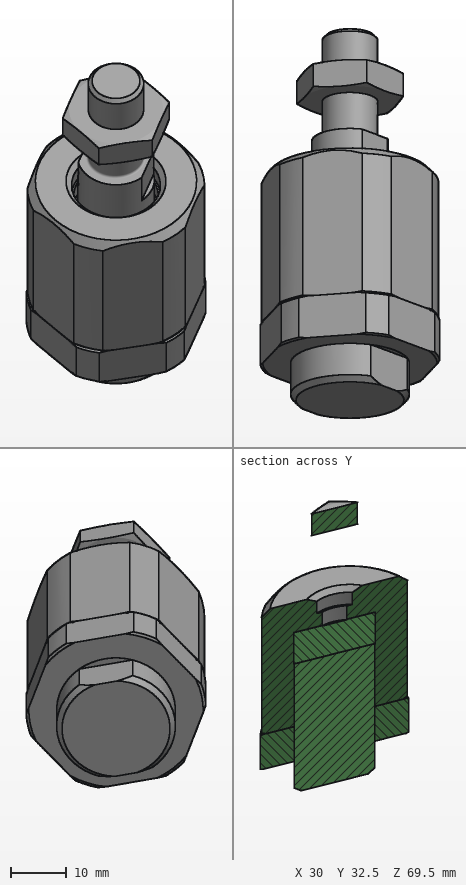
import cadquery as cq
import math


LOCK_NUT_BOTTOM = 7.0
LOCK_NUT_TOP = 15.0
PLUG_TOP = 29.2
HEAD_TOP = 36.15
LEDGE_HEIGHT = 39.3
HOUSING_TOP = 43.0
WRENCH_FLATS_BOTTOM = 43.45
SHOULDER_TOP = 49.5
JAM_NUT_BOTTOM = 57.05
JAM_NUT_THICKNESS = 5.0
STUD_TOP = 69.5

PLUG_DIAMETER = 21.4
PLUG_ACROSS_FLATS = 19.05
PLUG_END_DIAMETER = 19.45
PLUG_CHAMFER_HEIGHT = 1.05

BODY_ACROSS_FLATS = 30.0
HOUSING_CORNER_DIAMETER = 32.0
HOUSING_TOP_DIAMETER = 29.05
HOUSING_BOTTOM_DIAMETER = 30.6
HOUSING_BOTTOM_CHAMFER_HEIGHT = 0.2
MOUTH_DIAMETER = 18.0
COUNTERBORE_DIAMETER = 16.0
THROAT_DIAMETER = 15.2
LOCK_NUT_CORNER_DIAMETER = 32.45
LOCK_NUT_FACE_DIAMETER = 31.4
LOCK_NUT_CHAMFER_HEIGHT = 0.2

SHOULDER_DIAMETER = 13.8
SHOULDER_ACROSS_FLATS = 12.0
STUD_DIAMETER = 10.0
STUD_END_DIAMETER = 8.6
STUD_ROOT_RADIUS = 0.4

JAM_NUT_ACROSS_FLATS = 17.0
JAM_NUT_FACE_DIAMETER = 16.95
JAM_NUT_CHAMFER_HEIGHT = 0.35


def turned(profile):
    """Solid of revolution about Z from (diameter, height) corners listed from bottom to top."""
    corners = [(diameter / 2, height) for diameter, height in profile]
    outline = [(0, corners[0][1]), *corners, (0, corners[-1][1])]
    return cq.Workplane("XZ").polyline(outline).close().revolve(360, (0, 0), (0, 1))


def hexagon_corner_diameter(across_flats):
    return across_flats / math.cos(math.radians(30))


def hexagon_bar(across_flats, bottom, top):
    """Hexagonal prism with one pair of flats facing -X and +X."""
    return (
        cq.Workplane("XY", origin=(0, 0, bottom))
        .transformed(rotate=(0, 0, 30))
        .polygon(6, hexagon_corner_diameter(across_flats))
        .extrude(top - bottom)
    )


def flats_bar(across_flats, length, bottom, top):
    """Block whose -X and +X faces form a pair of wrench flats."""
    return cq.Workplane("XY", origin=(0, 0, bottom)).box(
        across_flats, length, top - bottom, centered=(True, True, False)
    )


def make_plug():
    wrench_end = turned([
        (PLUG_END_DIAMETER, 0),
        (PLUG_DIAMETER, PLUG_CHAMFER_HEIGHT),
        (PLUG_DIAMETER, LOCK_NUT_BOTTOM),
    ]).intersect(flats_bar(PLUG_ACROSS_FLATS, PLUG_DIAMETER, 0, LOCK_NUT_BOTTOM))
    shank = turned([(PLUG_DIAMETER, LOCK_NUT_BOTTOM), (PLUG_DIAMETER, PLUG_TOP)])
    return wrench_end.union(shank)


def make_lock_nut():
    envelope = turned([
        (LOCK_NUT_FACE_DIAMETER, LOCK_NUT_BOTTOM),
        (LOCK_NUT_CORNER_DIAMETER, LOCK_NUT_BOTTOM + LOCK_NUT_CHAMFER_HEIGHT),
        (LOCK_NUT_CORNER_DIAMETER, LOCK_NUT_TOP - LOCK_NUT_CHAMFER_HEIGHT),
        (LOCK_NUT_FACE_DIAMETER, LOCK_NUT_TOP),
    ])
    bore = turned([(PLUG_DIAMETER, LOCK_NUT_BOTTOM), (PLUG_DIAMETER, LOCK_NUT_TOP)])
    return hexagon_bar(BODY_ACROSS_FLATS, LOCK_NUT_BOTTOM, LOCK_NUT_TOP).intersect(envelope).cut(bore)


def make_housing():
    top_chamfer = (HOUSING_CORNER_DIAMETER - HOUSING_TOP_DIAMETER) / 2
    mouth_depth = (MOUTH_DIAMETER - COUNTERBORE_DIAMETER) / 2
    envelope = turned([
        (HOUSING_BOTTOM_DIAMETER, LOCK_NUT_TOP),
        (HOUSING_CORNER_DIAMETER, LOCK_NUT_TOP + HOUSING_BOTTOM_CHAMFER_HEIGHT),
        (HOUSING_CORNER_DIAMETER, HOUSING_TOP - top_chamfer),
        (HOUSING_TOP_DIAMETER, HOUSING_TOP),
    ])
    cavity = turned([
        (PLUG_DIAMETER, LOCK_NUT_TOP),
        (PLUG_DIAMETER, HEAD_TOP),
        (THROAT_DIAMETER, HEAD_TOP),
        (THROAT_DIAMETER, LEDGE_HEIGHT),
        (COUNTERBORE_DIAMETER, LEDGE_HEIGHT),
        (COUNTERBORE_DIAMETER, HOUSING_TOP - mouth_depth),
        (MOUTH_DIAMETER, HOUSING_TOP),
    ])
    return hexagon_bar(BODY_ACROSS_FLATS, LOCK_NUT_TOP, HOUSING_TOP).intersect(envelope).cut(cavity)


def make_stud_root():
    """Collar with a concave quarter-round profile where the rod meets the shoulder."""
    rod_radius = STUD_DIAMETER / 2
    return (
        cq.Workplane("XZ")
        .moveTo(0, SHOULDER_TOP)
        .lineTo(rod_radius + STUD_ROOT_RADIUS, SHOULDER_TOP)
        .radiusArc((rod_radius, SHOULDER_TOP + STUD_ROOT_RADIUS), STUD_ROOT_RADIUS)
        .lineTo(0, SHOULDER_TOP + STUD_ROOT_RADIUS)
        .close()
        .revolve(360, (0, 0), (0, 1))
    )


def make_stud():
    head_and_shoulder = turned([
        (PLUG_DIAMETER, PLUG_TOP),
        (PLUG_DIAMETER, HEAD_TOP),
        (SHOULDER_DIAMETER, HEAD_TOP),
        (SHOULDER_DIAMETER, WRENCH_FLATS_BOTTOM),
    ])
    wrench_flats = turned([
        (SHOULDER_DIAMETER, WRENCH_FLATS_BOTTOM),
        (SHOULDER_DIAMETER, SHOULDER_TOP),
    ]).intersect(flats_bar(SHOULDER_ACROSS_FLATS, SHOULDER_DIAMETER, WRENCH_FLATS_BOTTOM, SHOULDER_TOP))
    end_chamfer = (STUD_DIAMETER - STUD_END_DIAMETER) / 2
    rod = turned([
        (STUD_DIAMETER, SHOULDER_TOP),
        (STUD_DIAMETER, STUD_TOP - end_chamfer),
        (STUD_END_DIAMETER, STUD_TOP),
    ])
    return head_and_shoulder.union(wrench_flats).union(rod).union(make_stud_root())


def make_jam_nut():
    top = JAM_NUT_BOTTOM + JAM_NUT_THICKNESS
    corner_diameter = hexagon_corner_diameter(JAM_NUT_ACROSS_FLATS)
    envelope = turned([
        (JAM_NUT_FACE_DIAMETER, JAM_NUT_BOTTOM),
        (corner_diameter, JAM_NUT_BOTTOM + JAM_NUT_CHAMFER_HEIGHT),
        (corner_diameter, top - JAM_NUT_CHAMFER_HEIGHT),
        (JAM_NUT_FACE_DIAMETER, top),
    ])
    bore = turned([(STUD_DIAMETER, JAM_NUT_BOTTOM), (STUD_DIAMETER, top)])
    return hexagon_bar(JAM_NUT_ACROSS_FLATS, JAM_NUT_BOTTOM, top).intersect(envelope).cut(bore)


plug = make_plug()
lock_nut = make_lock_nut()
housing = make_housing()
stud = make_stud()
jam_nut = make_jam_nut()

result = cq.Compound.makeCompound([
    plug.val(),
    lock_nut.val(),
    housing.val(),
    stud.val(),
    jam_nut.val(),
])